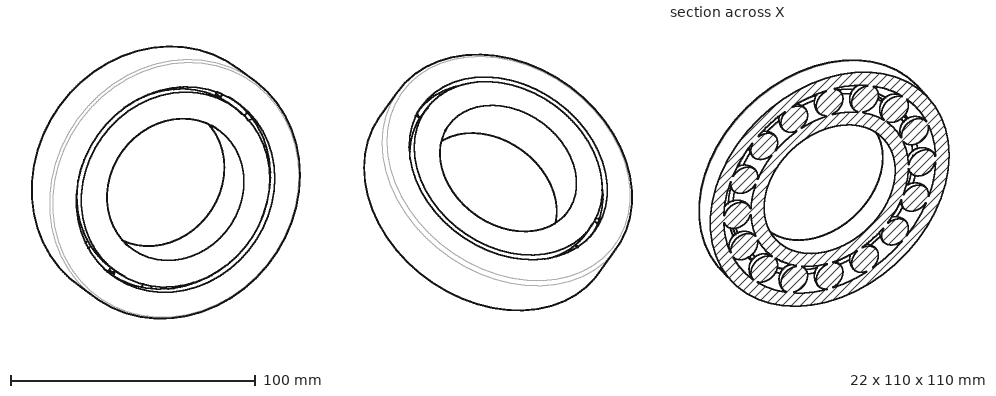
import cadquery as cq

outer_diameter = 110.0
width = 22.0
bore_diameter = 60.1

outer_ring_bore = 87.1
inner_ring_diameter = 82.7

left_edge_radius = 1.5
right_edge_radius = 1.0

ball_count = 16
ball_radius = 6.3
ball_embed_depth = 0.1
groove_radius = ball_radius - ball_embed_depth
pitch_radius = (outer_ring_bore + inner_ring_diameter) / 4


def ring(outside_diameter, inside_diameter):
    """Plain ring along X, centred on the origin."""
    return (
        cq.Workplane("YZ")
        .circle(outside_diameter / 2)
        .circle(inside_diameter / 2)
        .extrude(width / 2, both=True)
    )


def build_outer_ring():
    """Outer ring with both outside edges rounded."""
    largest_edge = cq.selectors.RadiusNthSelector(-1)
    body = ring(outer_diameter, outer_ring_bore)
    body = body.faces("<X").edges(largest_edge).fillet(left_edge_radius)
    return body.faces(">X").edges(largest_edge).fillet(right_edge_radius)


def build_groove():
    """Torus around X that cuts the ball track into both rings."""
    return (
        cq.Workplane("XZ")
        .center(0, pitch_radius)
        .circle(groove_radius)
        .revolve(360, (0, -pitch_radius), (1, -pitch_radius))
    )


def build_balls():
    """Evenly spaced balls on the pitch circle, the first on +Z."""
    first_ball = cq.Workplane("XY").sphere(ball_radius).translate((0, 0, pitch_radius))
    balls = []
    for index in range(ball_count):
        angle = index * 360 / ball_count
        balls.append(first_ball.rotate((0, 0, 0), (1, 0, 0), angle))
    return balls


inner_ring = ring(inner_ring_diameter, bore_diameter)
result = build_outer_ring().union(inner_ring).cut(build_groove())
for ball in build_balls():
    result = result.union(ball)